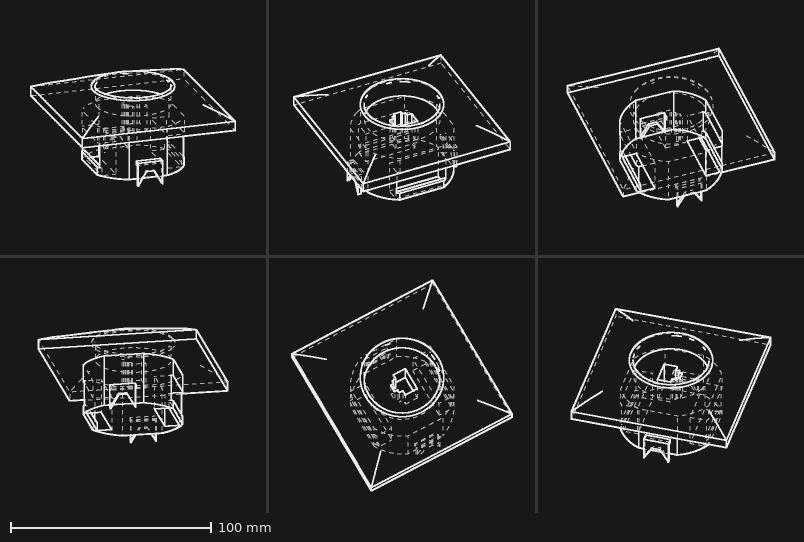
import cadquery as cq
import math

plate_length = 81.5
plate_width = 80.5
plate_thickness = 4.9

overall_height = 44.0
recess_diameter = 38.0
recess_depth = 9.8
recess_radius = recess_diameter / 2
collar_width = 1.9
bead_radius = collar_width / 2
bead_center = recess_radius + bead_radius

claw_tip_depth = 28.85
claw_reach = 27.4
claw_thickness = 1.6
claw_width = 12.8
claw_height = 12.2
claw_notch_height = 7.3
claw_notch_top_width = 4.1
claw_root = 1.6

collar_top = overall_height - claw_tip_depth
dome_top = collar_top - bead_radius
ridge_bulge = 1.3
recess_floor = collar_top - recess_depth

jack_top = 5.3
jack_steps = [(6.1, -1.55), (3.6, -3.6), (1.95, -5.3)]
jack_depth = 13.0

body_diameter = 51.9
body_length = 47.8
body_width = 45.8
body_height = 26.1

window_width = 27.1
window_top = -8.8
window_height = 13.1
window_wall = 1.95
core_width = window_width

corner_signs = [(-1, -1), (1, -1), (1, 1), (-1, 1)]


def make_dome():
    """Solid under four curved faces that run from the plate edges to the collar."""
    rim_offset = bead_center * math.sqrt(0.5)
    half_length = plate_length / 2
    half_width = plate_width / 2
    corners = [cq.Vector(sx * half_length, sy * half_width, plate_thickness) for sx, sy in corner_signs]
    rim_points = [cq.Vector(sx * rim_offset, sy * rim_offset, dome_top) for sx, sy in corner_signs]
    bulge = cq.Vector(0, 0, ridge_bulge)
    ridges = [
        cq.Edge.makeThreePointArc(low, (low + high) * 0.5 + bulge, high)
        for low, high in zip(corners, rim_points)
    ]
    borders = []
    rims = []
    faces = []
    for i in range(4):
        j = (i + 1) % 4
        side_angle = math.radians(90 * i - 90)
        rim_middle = cq.Vector(
            bead_center * math.cos(side_angle), bead_center * math.sin(side_angle), dome_top
        )
        border = cq.Edge.makeLine(corners[i], corners[j])
        rim = cq.Edge.makeThreePointArc(rim_points[i], rim_middle, rim_points[j])
        borders.append(border)
        rims.append(rim)
        faces.append(cq.Face.makeNSidedSurface([border, ridges[j], rim, ridges[i]], []))
    for loop in (rims, borders):
        faces.append(cq.Face.makeFromWires(cq.Wire.assembleEdges(loop)))
    return cq.Workplane(obj=cq.Solid.makeSolid(cq.Shell.makeShell(faces)))


def make_collar():
    """Round bead that overhangs the dome, on a wall lining the recess."""
    arc_offset = bead_radius * math.sqrt(0.5)
    return (
        cq.Workplane("XZ")
        .moveTo(recess_radius, recess_floor)
        .lineTo(bead_center, recess_floor)
        .lineTo(bead_center, dome_top - bead_radius)
        .threePointArc((bead_center + arc_offset, dome_top + arc_offset), (recess_radius, dome_top))
        .close()
        .revolve(360, (0, 0, 0), (0, 1, 0))
    )


def make_body():
    cylinder = cq.Workplane("XY").circle(body_diameter / 2).extrude(-body_height)
    block = cq.Workplane("XY").rect(body_length, body_width).extrude(-body_height)
    return cylinder.intersect(block)


def cut_windows(body):
    """Cut a window through each long side and a pocket behind it, leaving a bar below the window."""
    outer_face = body_width / 2
    core_face = core_width / 2
    window_depth = outer_face - core_face
    pocket_depth = window_depth - window_wall
    for side in (-1, 1):
        window = (
            cq.Workplane("XY", origin=(0, side * (core_face + window_depth / 2), window_top))
            .rect(window_width, window_depth)
            .extrude(-window_height)
        )
        pocket = (
            cq.Workplane("XY", origin=(0, side * (core_face + pocket_depth / 2), -body_height))
            .rect(window_width, pocket_depth)
            .extrude(body_height + window_top)
        )
        body = body.cut(window).cut(pocket)
    return body


def make_claw():
    """Angled claw on the +X end, notched into two pointed prongs."""
    claw_bottom = -claw_tip_depth
    claw_top = claw_bottom + claw_height
    root = body_length / 2 - claw_root
    claw = (
        cq.Workplane("XZ")
        .moveTo(root, claw_top)
        .lineTo(claw_reach, claw_top)
        .lineTo(claw_reach, claw_bottom)
        .lineTo(claw_reach - claw_thickness, claw_bottom)
        .lineTo(claw_reach - claw_thickness, claw_top - claw_thickness)
        .lineTo(root, claw_top - claw_thickness)
        .close()
        .extrude(claw_width / 2, both=True)
    )
    notch_top = claw_bottom + claw_notch_height
    notch = (
        cq.Workplane("YZ")
        .moveTo(-claw_width / 2, claw_bottom)
        .lineTo(-claw_notch_top_width / 2, notch_top)
        .lineTo(claw_notch_top_width / 2, notch_top)
        .lineTo(claw_width / 2, claw_bottom)
        .close()
        .extrude(claw_reach)
    )
    return claw.cut(notch)


def make_jack_opening():
    opening = cq.Workplane()
    for half_width, lower_edge in jack_steps:
        step = (
            cq.Workplane("XY", origin=(0, (jack_top + lower_edge) / 2, recess_floor))
            .rect(2 * half_width, jack_top - lower_edge)
            .extrude(-jack_depth)
        )
        opening = opening.add(step)
    return opening.combine()


plate = cq.Workplane("XY").rect(plate_length, plate_width).extrude(plate_thickness)
recess = cq.Workplane("XY", origin=(0, 0, recess_floor)).circle(recess_radius).extrude(recess_depth)
cover = plate.union(make_dome()).cut(recess).union(make_collar())
body = cut_windows(make_body())
claw = make_claw()

result = cover.union(body).cut(make_jack_opening()).union(claw).union(claw.mirror("YZ"))